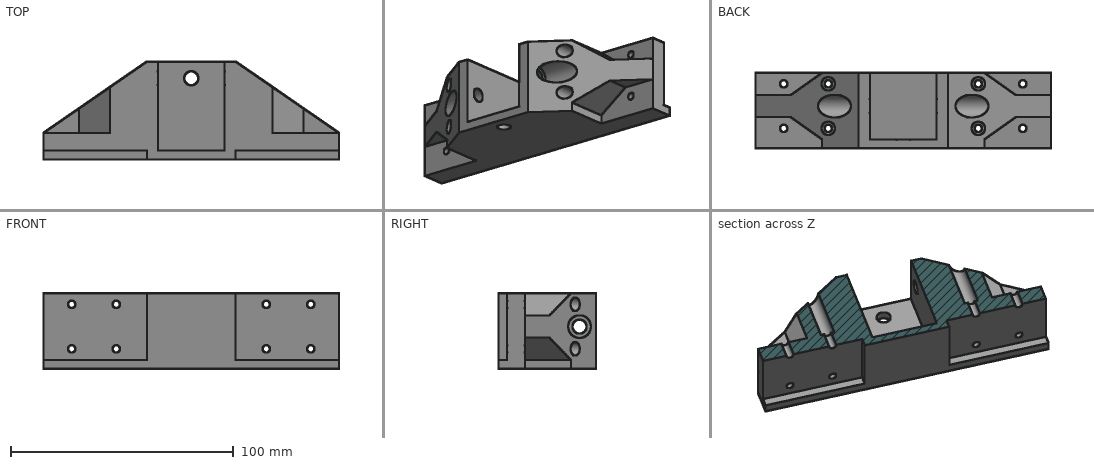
import cadquery as cq

LENGTH = 132.8
DEPTH = 44.0
HEIGHT = 34.0
PLATE_BACK = 12.0
TIP_HALF_WIDTH = 20.0
HALF_LENGTH = LENGTH / 2

SEAT_DEPTH = 4.0
LEDGE_HEIGHT = 4.0
PAD_HALF_WIDTH = 19.9

SLOT_WIDTH = 30.0
SLOT_WALL = 4.0
SLOT_FLOOR = 4.0

MID_Z = (LEDGE_HEIGHT + HEIGHT) / 2
WEB_THICKNESS = 10.0
FLARE_RISE = (HEIGHT - LEDGE_HEIGHT - WEB_THICKNESS) / 2
FLARE_INNER_X = 36.4
FLARE_OUTER_X = 50.5

PIN_Y = 36.5
PIN_DIAMETER = 6.2
PIN_RECESS_DIAMETER = 10.2

SCREW_DIAMETER = 3.2
SCREW_HEAD_DIAMETER = 6.0
SCREW_SPACING = 20.0
SCREW_CENTER_X = 43.7
SCREW_CENTER_Z = MID_Z

SIDES = (-1, 1)


def box_between(low, high):
    """Axis-aligned box spanning two opposite corners."""
    size = [end - start for start, end in zip(low, high)]
    return cq.Workplane("XY").box(*size, centered=False).translate(low)


def rod_along_y(x, z, diameter, start, end):
    """Cylinder parallel to Y between two Y positions."""
    axis = cq.Vector(0, 1, 0)
    base = cq.Vector(x, start, z)
    return cq.Workplane(cq.Solid.makeCylinder(diameter / 2, end - start, base, axis))


def make_body():
    return (
        cq.Workplane("XY")
        .moveTo(-HALF_LENGTH, 0)
        .lineTo(HALF_LENGTH, 0)
        .lineTo(HALF_LENGTH, PLATE_BACK)
        .lineTo(TIP_HALF_WIDTH, DEPTH)
        .lineTo(-TIP_HALF_WIDTH, DEPTH)
        .lineTo(-HALF_LENGTH, PLATE_BACK)
        .close()
        .extrude(HEIGHT)
    )


def cut_seats(body):
    for side in SIDES:
        low_x, high_x = sorted((side * PAD_HALF_WIDTH, side * HALF_LENGTH))
        body = body.cut(box_between((low_x, 0, LEDGE_HEIGHT), (high_x, SEAT_DEPTH, HEIGHT)))
    return body


def cut_slot(body):
    half = SLOT_WIDTH / 2
    return body.cut(box_between((-half, SLOT_WALL, SLOT_FLOOR), (half, DEPTH, HEIGHT)))


def wing_relief(side, web_z, flare_z, outer_z):
    """Material removed above or below a web, behind the mounting plate."""
    points = [
        (side * FLARE_INNER_X, outer_z),
        (side * FLARE_INNER_X, flare_z),
        (side * FLARE_OUTER_X, web_z),
        (side * HALF_LENGTH, web_z),
        (side * HALF_LENGTH, outer_z),
    ]
    if flare_z == outer_z:
        points = points[1:]
    profile = cq.Workplane("XZ", origin=(0, PLATE_BACK, 0)).polyline(points).close()
    return profile.extrude(PLATE_BACK - DEPTH)


def cut_wings(body):
    web_top = MID_Z + WEB_THICKNESS / 2
    web_bottom = MID_Z - WEB_THICKNESS / 2
    for side in SIDES:
        body = body.cut(wing_relief(side, web_top, web_top + FLARE_RISE, HEIGHT))
        body = body.cut(wing_relief(side, web_bottom, web_bottom - FLARE_RISE, 0))
    return body


def cut_pin_holes(body):
    body = body.cut(cq.Workplane("XY").center(0, PIN_Y).circle(PIN_DIAMETER / 2).extrude(HEIGHT))
    cross = cq.Workplane("YZ").center(PIN_Y, MID_Z)
    body = body.cut(cross.circle(PIN_DIAMETER / 2).extrude(HALF_LENGTH, both=True))
    for side in SIDES:
        flank = cq.Workplane("YZ", origin=(side * TIP_HALF_WIDTH, PIN_Y, MID_Z))
        recess_length = side * (HALF_LENGTH - TIP_HALF_WIDTH)
        body = body.cut(flank.circle(PIN_RECESS_DIAMETER / 2).extrude(recess_length))
    return body


def cut_screw_holes(body):
    for side in SIDES:
        for x_step in SIDES:
            for z_step in SIDES:
                x = side * SCREW_CENTER_X + x_step * SCREW_SPACING / 2
                z = SCREW_CENTER_Z + z_step * SCREW_SPACING / 2
                body = body.cut(rod_along_y(x, z, SCREW_DIAMETER, 0, DEPTH))
                body = body.cut(rod_along_y(x, z, SCREW_HEAD_DIAMETER, PLATE_BACK, DEPTH))
    return body


result = make_body()
result = cut_seats(result)
result = cut_slot(result)
result = cut_wings(result)
result = cut_pin_holes(result)
result = cut_screw_holes(result)